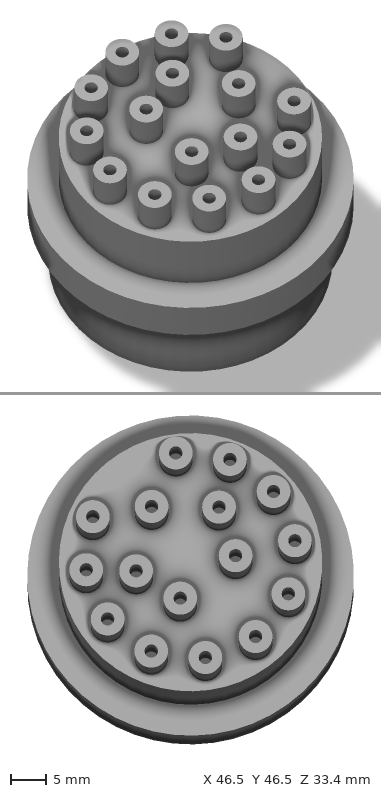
import cadquery as cq
import math

lower_diameter = 40.5
lower_height = 12.5
flange_diameter = 46.5
flange_height = 6.3
upper_diameter = 37.5
upper_height = 9.6

pin_diameter = 4.8
pin_height = 5.0
pin_bore_diameter = 1.9
pin_bore_depth = pin_height

ring_radius = 15.0
ring_positions = 12
empty_position = ring_positions // 4

single_pin_y = 9.0
wide_pair_x = 7.5
wide_pair_y = 3.0
narrow_pair_x = 5.0
narrow_pair_y = -4.0

flange_base_z = lower_height
upper_base_z = flange_base_z + flange_height
pin_base_z = upper_base_z + upper_height
pin_top_z = pin_base_z + pin_height


def cylinder(diameter, height, base_z):
    """Cylinder on the Z axis, rising from base_z."""
    return cq.Workplane("XY").workplane(offset=base_z).circle(diameter / 2).extrude(height)


def make_body():
    """Stepped round body with a flange between its lower and upper ends."""
    lower = cylinder(lower_diameter, lower_height, 0)
    flange = cylinder(flange_diameter, flange_height, flange_base_z)
    upper = cylinder(upper_diameter, upper_height, upper_base_z)
    return lower.union(flange).union(upper)


def outer_ring_points():
    """Pin centres of the outer ring, without the empty position."""
    points = []
    for position in range(ring_positions):
        if position == empty_position:
            continue
        angle = 2 * math.pi * position / ring_positions
        points.append((ring_radius * math.cos(angle), ring_radius * math.sin(angle)))
    return points


def inner_group_points():
    """Pin centres of the inner group."""
    points = [(0, single_pin_y)]
    for side in (-1, 1):
        points.append((side * wide_pair_x, wide_pair_y))
        points.append((side * narrow_pair_x, narrow_pair_y))
    return points


def add_pins(body, points):
    """Stand a pin on the upper face at each point and bore it from its top."""
    pins = (
        cq.Workplane("XY").workplane(offset=pin_base_z)
        .pushPoints(points).circle(pin_diameter / 2).extrude(pin_height)
    )
    bores = (
        cq.Workplane("XY").workplane(offset=pin_top_z)
        .pushPoints(points).circle(pin_bore_diameter / 2).extrude(-pin_bore_depth)
    )
    return body.union(pins).cut(bores)


result = add_pins(make_body(), outer_ring_points() + inner_group_points())